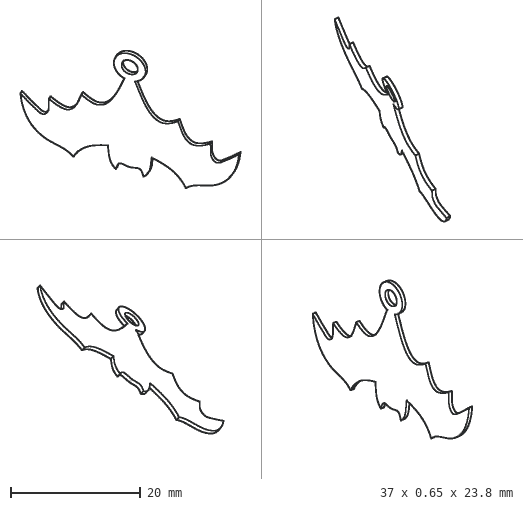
import cadquery as cq

span = 37.0
height = 23.82
thickness = 0.65

ring_radius = 2.7
hole_radius = 1.37
ring_z = height - ring_radius

neck = (-0.92, 18.57)
inner_claw = (-8.17, 13.02)
outer_claw = (-13.65, 10.35)
wing_tip = (-span / 2, 9.8)
lower_point = (-9.5, 0.05)
head_corner = (-3.7, 4.25)
fang_tip = (-2.33, 0.0)
brow_middle = (0.0, 1.15)

left_edges = [
    [(-2.1, 15.55), (-3.1, 13.6), (-4.1, 12.43), (-5.45, 11.85), (-6.77, 12.15), inner_claw],
    [(-8.75, 11.3), (-9.45, 10.0), (-10.43, 9.2), (-11.75, 9.32), outer_claw],
    [(-13.7, 8.6), (-14.02, 7.4), (-14.6, 6.9), (-15.8, 7.47), (-17.13, 8.6), wing_tip],
    [(-17.8, 6.4), (-16.8, 4.45), (-15.45, 3.0), (-13.8, 2.0), (-11.43, 1.25), lower_point],
    [(-8.75, 1.3), (-7.45, 2.65), (-5.77, 3.6), head_corner],
    [(-3.48, 2.1), (-3.05, 0.8), fang_tip],
    [(-2.1, 0.75), (-1.65, 1.35), (-0.92, 1.3), brow_middle],
]


def front_plane():
    """XZ workplane on the front face, so the plate is centred on Y = 0."""
    return cq.Workplane("XZ", origin=(0, -thickness / 2, 0))


def make_left_half():
    """Left half of the bat, closed along the X = 0 symmetry plane."""
    outline = front_plane().moveTo(0, neck[1]).lineTo(*neck)
    for edge_points in left_edges:
        outline = outline.spline(edge_points, includeCurrent=True)
    return outline.close().extrude(-thickness)


def make_disc(radius):
    """Disc at the ring centre."""
    return front_plane().center(0, ring_z).circle(radius).extrude(-thickness)


left_half = make_left_half()
bat = left_half.union(left_half.mirror("YZ"))
result = bat.union(make_disc(ring_radius)).cut(make_disc(hole_radius)).clean()